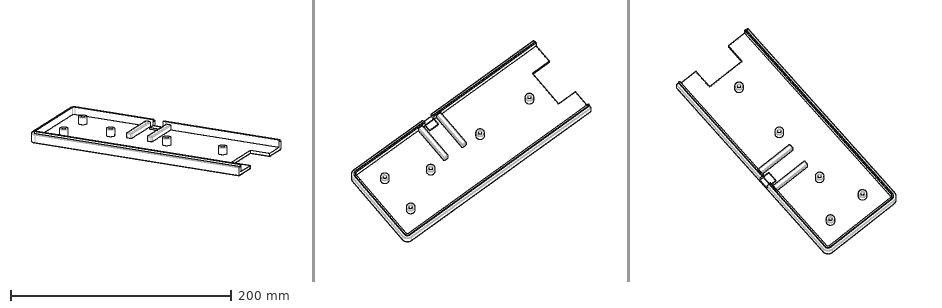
import cadquery as cq
LENGTH = 213.5
WIDTH = 85.0
HEIGHT = 10.0
CORNER_RADIUS = 6.0
FLOOR_THICKNESS = 3.0
EDGE_ROUNDING = 0.5

LIP_HEIGHT = 2.0
LEDGE_WIDTH = 2.5
WALL_THICKNESS = 4.0

NOTCH_DEPTH = 19.5
NOTCH_WIDTH = 38.5

POST_DIAMETER = 8.0
POST_HOLE_DIAMETER = 3.0
POST_HEIGHT = 6.8
END_POST_X = 23.5
END_POST_SPACING = 38.0
ROW_POST_X = 61.5
ROW_POST_PITCH = 57.0
ROW_POST_COUNT = 3

GAP_CENTER_X = 90.3
GAP_WIDTH = 10.0
PAD_WIDTH = 10.2
PAD_END_Y = 31.8
PAD_HEIGHT = 1.5
RIB_SPACING = 21.0
RIB_WIDTH = 5.1
RIB_HEIGHT = 5.0
RIB_END_Y = 0.5
RIB_ROUNDING = 0.9

ledge_z = HEIGHT - LIP_HEIGHT
outer_y = WIDTH / 2
wall_y = outer_y - WALL_THICKNESS


def plan_block(inset, z_bottom, z_top):
    """Block inset from the three walled sides, with its two -X corners rounded."""
    size = (LENGTH - inset, WIDTH - 2 * inset, z_top - z_bottom)
    block = cq.Workplane("XY").box(*size, centered=(False, True, False))
    block = block.translate((inset, 0, z_bottom))
    return block.edges("|Z and <X").fillet(CORNER_RADIUS - inset)


def make_tray():
    """Floor and stepped wall, with the rim of the ledge rounded."""
    body = plan_block(0, 0, ledge_z)
    body = body.faces(">Z").edges("not >X").fillet(EDGE_ROUNDING)
    lip = plan_block(LEDGE_WIDTH, ledge_z, HEIGHT)
    cavity = plan_block(WALL_THICKNESS, FLOOR_THICKNESS, HEIGHT)
    return body.union(lip).cut(cavity)


def make_notch():
    notch = cq.Workplane("XY").box(2 * NOTCH_DEPTH, NOTCH_WIDTH, HEIGHT, centered=(True, True, False))
    return notch.translate((LENGTH, 0, 0))


def make_gap():
    gap = cq.Workplane("XY").box(GAP_WIDTH, 2 * WALL_THICKNESS, HEIGHT, centered=(True, True, False))
    return gap.translate((GAP_CENTER_X, outer_y, FLOOR_THICKNESS))


def floor_block(x, width, y_end, height):
    """Block on the floor that runs from y_end to the inner face of the +Y wall."""
    block = cq.Workplane("XY").box(width, wall_y - y_end, height, centered=(True, False, False))
    return block.translate((x, y_end, FLOOR_THICKNESS))


def make_rib(x):
    """Rib with its free end and top edges rounded."""
    rib = floor_block(x, RIB_WIDTH, RIB_END_Y, RIB_HEIGHT)
    rib = rib.edges("|Z and <Y").fillet(RIB_ROUNDING)
    return rib.faces(">Z").edges("not >Y").fillet(RIB_ROUNDING)


def post_places():
    end_posts = [(END_POST_X, side * END_POST_SPACING / 2) for side in (-1, 1)]
    row_posts = [(ROW_POST_X + i * ROW_POST_PITCH, 0) for i in range(ROW_POST_COUNT)]
    return end_posts + row_posts


def make_holes():
    return cq.Workplane("XY").pushPoints(post_places()).circle(POST_HOLE_DIAMETER / 2).extrude(HEIGHT)


def make_posts():
    """Standoffs with rounded rims around their holes."""
    posts = cq.Workplane("XY").pushPoints(post_places()).circle(POST_DIAMETER / 2)
    posts = posts.extrude(FLOOR_THICKNESS + POST_HEIGHT)
    return posts.cut(make_holes()).faces(">Z").edges().fillet(EDGE_ROUNDING)


result = make_tray().cut(make_notch()).cut(make_gap())

for side in (-1, 1):
    result = result.union(make_rib(GAP_CENTER_X + side * RIB_SPACING / 2))

result = result.union(floor_block(GAP_CENTER_X, PAD_WIDTH, PAD_END_Y, PAD_HEIGHT))
result = result.cut(make_holes()).union(make_posts())